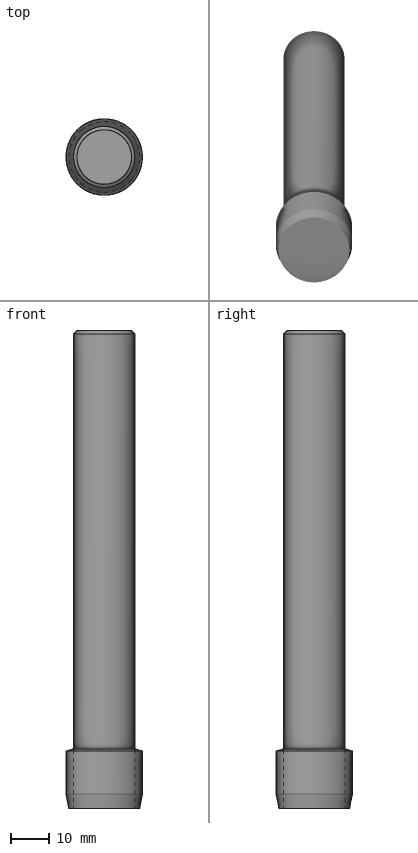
import cadquery as cq

total_length = 125.0
pin_diameter = 16.0
pin_tip_chamfer = 0.9
collar_diameter = 20.0
collar_height = 15.6
collar_top_slope = 0.6
collar_foot_height = 3.8
collar_foot_inset = 0.8

pin_radius = pin_diameter / 2
collar_radius = collar_diameter / 2


def make_pin():
    """Full-length round pin with a chamfered upper end."""
    pin = cq.Workplane("XY").circle(pin_radius).extrude(total_length)
    return pin.faces(">Z").chamfer(pin_tip_chamfer)


def make_collar():
    """Sleeve around the pin, with a conical top and a tapered foot."""
    foot_radius = collar_radius - collar_foot_inset
    rim_height = collar_height - collar_top_slope
    profile = (
        cq.Workplane("XZ")
        .moveTo(pin_radius, collar_height)
        .lineTo(collar_radius, rim_height)
        .lineTo(collar_radius, collar_foot_height)
        .lineTo(foot_radius, 0)
        .lineTo(pin_radius, 0)
        .close()
    )
    return profile.revolve(360, (0, 0, 0), (0, 1, 0))


pin = make_pin()
collar = make_collar()

result = cq.Compound.makeCompound([pin.val(), collar.val()])